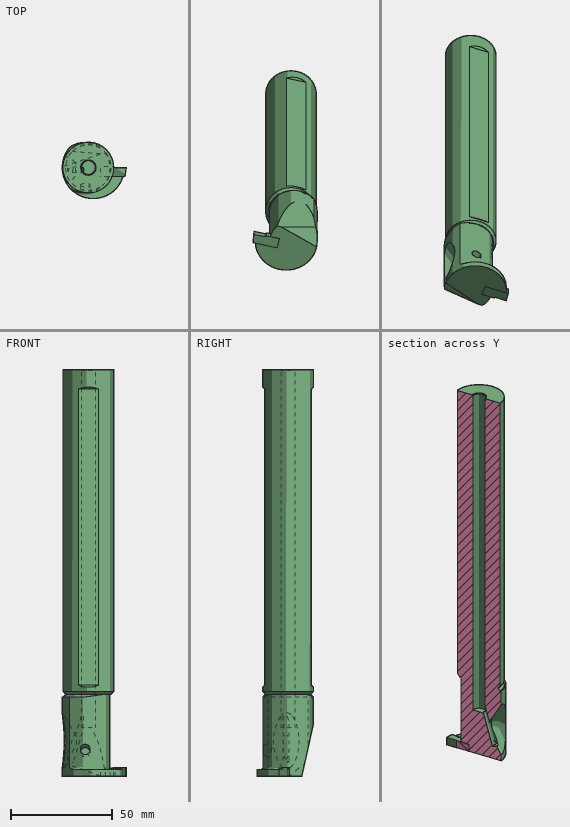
import cadquery as cq
import math

LENGTH = 200.0
SHANK_R = 25.0 / 2
SHANK_BOTTOM = 41.8
FLAT_WIDTH = 9.8
FLAT_BOTTOM = 44.8
FLAT_TOP = 190.5
FLAT_END_SLOPE = 1.0
BORE_R = 3.5
BORE_BOTTOM = 24.0
BORE_CHAMFER = 0.5

NECK_R = 11.2
NECK_Z = 40.2

HEAD_TOP = 39.0
HEAD_R = 12.5
HEAD_X = -1.8
SWEEP_R = 30.5 / 2
SWEEP_X = 2.5
FLANGE_THICK = 3.5
FLANGE_FILLET = 1.0

BACK_RELIEF_Y = 6.8
BACK_RELIEF_ANGLE = 12.5
HEEL_POINT = (-12.8, 0.5, 0.0)
HEEL_TRACE = (3.0, 1.0, 0.0)
HEEL_NORMAL = (-0.2, 0.6, -0.7)

POCKET_R = 6.5
POCKET_Y = -1.0
POCKET_Z = 17.5
POCKET_FLOOR_X = -5.5
POCKET_ANGLE = 31.0

OUTLET_R = 1.5
OUTLET_X = -7.0
OUTLET_Z = 13.2
OUTLET_ANGLE = 17.0
OUTLET_LENGTH = 20.0

SCREW_R = 2.5
SCREW_X = -1.5
SCREW_Z = 13.2
SCREW_ANGLE = 20.0
SCREW_DEPTH = 4.0

INSERT_OVERHANG = 1.0
INSERT_TIP_X = SWEEP_X + SWEEP_R + INSERT_OVERHANG
INSERT_BACK_X = 6.0
INSERT_DEPTH = 4.5
INSERT_WIDTH = 4.2
INSERT_CLEARANCE = 8.0
SHOULDER_X = 13.0
SHOULDER_Y = 0.5
SIDE_RELIEF_ANGLE = 8.0
SIDE_RELIEF_TURN = -31.0

BLOCK = 4 * SWEEP_R


def cylinder(radius, bottom, top, x=0.0):
    """Upright cylinder between two heights, set off along X."""
    return cq.Workplane("XY", origin=(x, 0, bottom)).circle(radius).extrude(top - bottom)


def turned(profile):
    """Solid of revolution from (radius, height) points about the Z axis."""
    return cq.Workplane("XZ").polyline(profile).close().revolve(360, (0, 0), (0, 1))


def half_space(origin, x_dir, normal):
    """Large block lying on the side of a plane that the normal points to."""
    plane = cq.Plane(origin=origin, xDir=x_dir, normal=normal)
    return cq.Workplane(plane).rect(2 * BLOCK, 2 * BLOCK).extrude(BLOCK)


def make_shank():
    """Round shank with a long flat, sloped at both ends, on each Y side."""
    shank = cylinder(SHANK_R, SHANK_BOTTOM, LENGTH)
    flat_y = math.sqrt(SHANK_R**2 - (FLAT_WIDTH / 2) ** 2)
    flat_depth = SHANK_R - flat_y
    outer_y = SHANK_R + flat_depth
    end_rise = FLAT_END_SLOPE * (outer_y - flat_y)
    for side in (-1, 1):
        flat = (
            cq.Workplane("YZ")
            .polyline([
                (side * flat_y, FLAT_BOTTOM),
                (side * flat_y, FLAT_TOP),
                (side * outer_y, FLAT_TOP + end_rise),
                (side * outer_y, FLAT_BOTTOM - end_rise),
            ])
            .close()
            .extrude(SHANK_R, both=True)
        )
        shank = shank.cut(flat)
    return shank


def make_neck():
    """V groove; its lower cone is trimmed to the outline of the head."""
    upper = turned([(0, NECK_Z), (NECK_R, NECK_Z), (SHANK_R, SHANK_BOTTOM), (0, SHANK_BOTTOM)])
    lower = turned([(0, HEAD_TOP), (SHANK_R, HEAD_TOP), (NECK_R, NECK_Z), (0, NECK_Z)])
    return upper.union(lower.intersect(cylinder(HEAD_R, HEAD_TOP, NECK_Z, HEAD_X)))


def make_head():
    """Head with the larger swept flange at its foot on the -Y side."""
    front = half_space((0, 0, 0), (1, 0, 0), (0, -1, 0))
    foot_r = HEAD_R + FLANGE_FILLET
    fillet_top = FLANGE_THICK + FLANGE_FILLET
    bend = FLANGE_FILLET * (1 - math.sqrt(0.5))
    foot = (
        cq.Workplane("XZ", origin=(HEAD_X, 0, 0))
        .moveTo(0, 0)
        .lineTo(foot_r, 0)
        .lineTo(foot_r, FLANGE_THICK)
        .threePointArc((HEAD_R + bend, FLANGE_THICK + bend), (HEAD_R, fillet_top))
        .lineTo(0, fillet_top)
        .close()
        .revolve(360, (0, 0), (0, 1))
        .intersect(front)
    )
    flange = cylinder(SWEEP_R, 0, FLANGE_THICK, SWEEP_X).intersect(front)
    head = cylinder(HEAD_R, 0, HEAD_TOP, HEAD_X).union(foot)
    return head.intersect(cylinder(SWEEP_R, 0, HEAD_TOP, SWEEP_X)).union(flange)


def back_relief():
    angle = math.radians(BACK_RELIEF_ANGLE)
    below_top = cylinder(BLOCK, 0, HEAD_TOP)
    lean = half_space((0, BACK_RELIEF_Y, 0), (1, 0, 0), (0, math.cos(angle), -math.sin(angle)))
    return lean.intersect(below_top)


def pocket():
    """Two leaning round cutters that meet in a ball at the pocket floor."""
    scoop = cq.Workplane("XY").sphere(POCKET_R)
    for way in (-1, 1):
        leg = cq.Workplane("XY").circle(POCKET_R).extrude(way * BLOCK)
        scoop = scoop.union(leg.rotate((0, 0, 0), (0, 1, 0), -way * POCKET_ANGLE))
    return scoop.translate((POCKET_FLOOR_X - POCKET_R, POCKET_Y, POCKET_Z))


def outlet():
    angle = math.radians(OUTLET_ANGLE)
    plane = cq.Plane(
        origin=(OUTLET_X, POCKET_Y, OUTLET_Z),
        xDir=(0, 1, 0),
        normal=(math.sin(angle), 0, math.cos(angle)),
    )
    return cq.Workplane(plane).workplane(offset=-POCKET_R).circle(OUTLET_R).extrude(OUTLET_LENGTH + POCKET_R)


def screw_hole():
    angle = math.radians(SCREW_ANGLE)
    plane = cq.Plane(
        origin=(SCREW_X, -HEAD_R, SCREW_Z),
        xDir=(1, 0, 0),
        normal=(0, math.cos(angle), -math.sin(angle)),
    )
    return cq.Workplane(plane).workplane(offset=-SCREW_DEPTH).circle(SCREW_R).extrude(2 * SCREW_DEPTH)


def bore():
    mouth_r = BORE_R + BORE_CHAMFER
    return turned([
        (0, BORE_BOTTOM),
        (BORE_R, BORE_BOTTOM),
        (BORE_R, LENGTH - BORE_CHAMFER),
        (mouth_r, LENGTH),
        (0, LENGTH),
    ])


def make_insert():
    """Blade insert with a front clearance, a small shoulder and a relieved upper side."""
    clearance = INSERT_DEPTH * math.tan(math.radians(INSERT_CLEARANCE))
    blade = (
        cq.Workplane("XY")
        .polyline([
            (INSERT_BACK_X, SHOULDER_Y),
            (SHOULDER_X - SHOULDER_Y, SHOULDER_Y),
            (SHOULDER_X, 0),
            (INSERT_TIP_X, 0),
            (INSERT_TIP_X - clearance, -INSERT_DEPTH),
            (INSERT_BACK_X, -INSERT_DEPTH),
        ])
        .close()
        .extrude(INSERT_WIDTH)
    )
    tilt = math.radians(SIDE_RELIEF_ANGLE)
    turn = math.radians(SIDE_RELIEF_TURN)
    ridge = (math.cos(turn), math.sin(turn), 0)
    normal = (math.sin(turn) * math.sin(tilt), -math.cos(turn) * math.sin(tilt), math.cos(tilt))
    return blade.cut(half_space((SHOULDER_X, 0, INSERT_WIDTH), ridge, normal))


insert = make_insert()

bar = make_shank().union(make_neck()).union(make_head())
bar = bar.cut(back_relief())
bar = bar.cut(half_space(HEEL_POINT, HEEL_TRACE, HEEL_NORMAL))
bar = bar.cut(pocket()).cut(bore()).cut(outlet()).cut(screw_hole())
bar = bar.cut(insert)

result = cq.Compound.makeCompound([bar.val(), insert.val()])